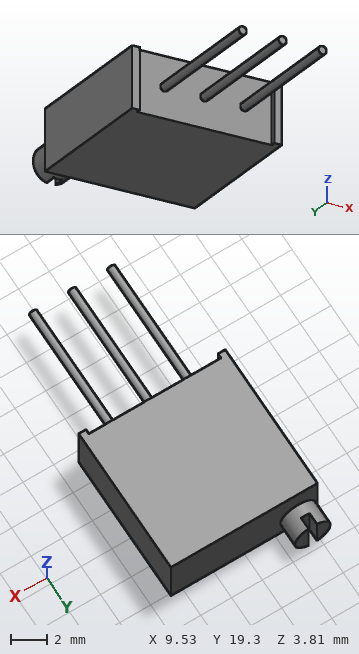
import cadquery as cq

body_width = 9.53
body_length = 9.53
body_height = 3.81

foot_width = 0.48
foot_depth = 0.3

pin_diameter = 0.51
pin_pitch = 2.54
pin_count = 3
pin_length = 8.25

screw_diameter = 2.3
screw_length = 1.52
screw_edge_offset = 1.27
slot_width = 0.54
slot_depth = 0.76

screw_x = screw_edge_offset - body_width / 2
screw_z = screw_edge_offset - body_height / 2


def rod_along_y(diameter, x, z, y_start, y_end):
    """Cylinder parallel to Y between two Y positions."""
    axis_start = cq.Vector(x, y_start, z)
    direction = cq.Vector(0, 1, 0)
    return cq.Workplane(cq.Solid.makeCylinder(diameter / 2, y_end - y_start, axis_start, direction))


def make_housing():
    """Block with a shallow recess across its front face, leaving two feet."""
    block = cq.Workplane().box(body_width, body_length, body_height).translate((0, -body_length / 2, 0))
    recess_width = body_width - 2 * foot_width
    recess = cq.Workplane().box(recess_width, foot_depth, body_height)
    return block.cut(recess.translate((0, foot_depth / 2 - body_length, 0)))


def make_screw():
    """Round screw head with a driver slot running along Z."""
    head = rod_along_y(screw_diameter, screw_x, screw_z, 0, screw_length)
    slot = cq.Workplane().box(slot_width, slot_depth, screw_diameter)
    return head.cut(slot.translate((screw_x, screw_length - slot_depth / 2, screw_z)))


def make_pin(index):
    """One lead of the row, from its free tip to the recessed front face."""
    x = (index - (pin_count - 1) / 2) * pin_pitch
    tip_y = -body_length - pin_length
    root_y = -body_length + foot_depth
    return rod_along_y(pin_diameter, x, 0, tip_y, root_y)


result = make_housing().union(make_screw())
for pin_index in range(pin_count):
    result = result.union(make_pin(pin_index))